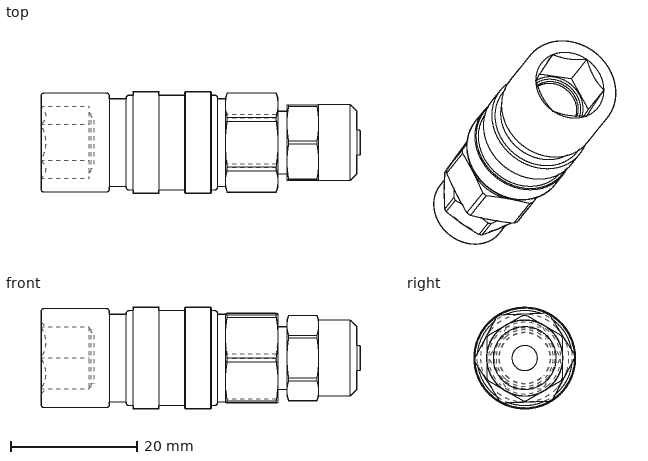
import cadquery as cq
import math

total_length = 50.65

sleeve_end = 10.85
band_start = 13.45
first_collar_start = 14.6
first_collar_end = 18.7
second_collar_start = 22.75
second_collar_end = 27.05
band_end = 28.0
body_hex_start = 29.2
body_hex_end = 37.6
nut_start = 39.0
nut_hex_end = 44.0
nut_end = 50.1

sleeve_diameter = 15.75
neck_diameter = 14.0
band_diameter = 15.1
collar_diameter = 16.15
stem_diameter = 10.0
nut_diameter = 12.1
tip_diameter = 4.0

sleeve_fillet = 0.5
band_fillet = 0.5
collar_chamfer = 0.15
nut_chamfer = 1.05
tip_fillet = 0.25

body_hex_flats = 14.0
body_hex_corner_diameter = 15.75
body_hex_turn = 2.2
nut_hex_flats = 12.0
nut_hex_corner_diameter = 13.55
nut_hex_turn = 90.0
hex_chamfer_angle = 18.0

socket_flats = 9.9
socket_corner_diameter = socket_flats / math.cos(math.radians(30))
socket_depth = 7.6
bore_mouth_diameter = 9.6
bore_diameter = 9.0
bore_depth = 0.3
pocket_mouth_diameter = 8.2
pocket_floor_diameter = 8.05
pocket_depth = 0.5


def cylinder(start, end, diameter):
    """Round section on the X axis from start to end."""
    return cq.Workplane("YZ", origin=(start, 0, 0)).circle(diameter / 2).extrude(end - start)


def cone(start, start_diameter, end, end_diameter):
    """Solid frustum on the X axis between two stations."""
    outline = [(start, 0), (start, start_diameter / 2), (end, end_diameter / 2), (end, 0)]
    return cq.Workplane("XY").polyline(outline).close().revolve(360, (0, 0, 0), (1, 0, 0))


def hex_prism(start, end, flats, turn=0.0):
    """Hexagonal prism on the X axis; with no turn, two corners lie on the Y axis."""
    prism = cq.Workplane("YZ", origin=(start, 0, 0))
    prism = prism.polygon(6, flats / math.cos(math.radians(30))).extrude(end - start)
    return prism.rotate((0, 0, 0), (1, 0, 0), turn)


def wrench_hex(start, end, flats, corner_diameter, turn):
    """Hexagon with truncated corners and conical chamfers at both ends."""
    chamfer_height = (corner_diameter - flats) / 2
    chamfer_length = chamfer_height * math.tan(math.radians(hex_chamfer_angle))
    envelope = cylinder(start, end, corner_diameter)
    envelope = envelope.edges().chamfer(chamfer_length, chamfer_height)
    return hex_prism(start, end, flats, turn).intersect(envelope)


def outer_body():
    """Turned sections and wrench hexagons joined along the X axis."""
    sleeve = cylinder(0, sleeve_end, sleeve_diameter).edges().fillet(sleeve_fillet)
    band = cylinder(band_start, band_end, band_diameter).edges().fillet(band_fillet)
    second_collar = cylinder(second_collar_start, second_collar_end, collar_diameter)
    second_collar = second_collar.edges().chamfer(collar_chamfer)
    nut = cylinder(nut_hex_end, nut_end, nut_diameter).edges(">X").chamfer(nut_chamfer)
    tip = cylinder(nut_end, total_length, tip_diameter).edges(">X").fillet(tip_fillet)

    sections = [
        cylinder(sleeve_end / 2, body_hex_start, neck_diameter),
        band,
        cylinder(first_collar_start, first_collar_end, collar_diameter),
        second_collar,
        wrench_hex(body_hex_start, body_hex_end, body_hex_flats,
                   body_hex_corner_diameter, body_hex_turn),
        cylinder(body_hex_end, nut_start, stem_diameter),
        wrench_hex(nut_start, nut_hex_end, nut_hex_flats,
                   nut_hex_corner_diameter, nut_hex_turn),
        nut,
        tip,
    ]
    body = sleeve
    for section in sections:
        body = body.union(section)
    return body


def socket_cavity():
    """Countersunk hexagonal socket with a tapered seat and a blind tapered pocket behind it."""
    countersink_depth = (socket_corner_diameter - socket_flats) / 2
    bore_end = socket_depth + bore_depth
    cavity = hex_prism(0, socket_depth, socket_flats)
    cavity = cavity.union(cone(0, socket_corner_diameter, countersink_depth, socket_flats))
    cavity = cavity.union(cone(socket_depth, bore_mouth_diameter, bore_end, bore_diameter))
    pocket_end = bore_end + pocket_depth
    return cavity.union(cone(bore_end, pocket_mouth_diameter, pocket_end, pocket_floor_diameter))


result = outer_body().cut(socket_cavity())